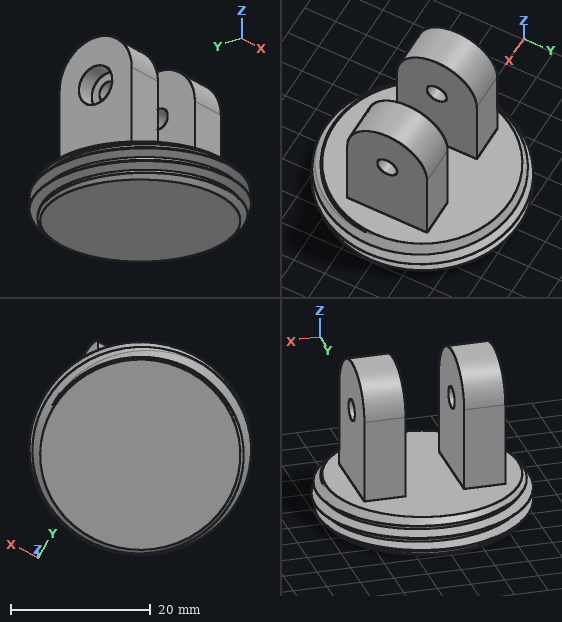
import cadquery as cq
import math

major_radius = 15.85
thread_pitch = 2.0
thread_depth = 1.33
crest_flat = 0.03
flank_half_angle = 30.0
disc_height = 6.0
end_face_radius = 14.3
root_radius = major_radius - thread_depth
ridge_embed = 0.1
envelope_clearance = 0.32

total_height = 25.0
lug_gap = 8.7
lug_thickness = 6.15
lug_width = 13.0
lug_foot_height = disc_height / 2
lug_round_radius = lug_width / 2
lug_round_height = total_height - lug_round_radius
lug_inner_x = lug_gap / 2
lug_outer_x = lug_inner_x + lug_thickness

hole_height = 17.5
hole_diameter = 3.2
counterbore_diameter = 6.0
counterbore_depth = 3.0


def thread_ridge():
    """Right-hand helical ridge that overruns both end faces of the disc."""
    start_height = -1.5 * thread_pitch
    helix_height = disc_height + 3 * thread_pitch
    base_radius = root_radius - ridge_embed
    half_crest = crest_flat / 2
    half_base = half_crest + (major_radius - base_radius) * math.tan(math.radians(flank_half_angle))
    helix = cq.Wire.makeHelix(thread_pitch, helix_height, root_radius)
    profile = cq.Workplane("XZ").polyline([
        (base_radius, -half_base),
        (major_radius, -half_crest),
        (major_radius, half_crest),
        (base_radius, half_base),
    ]).close()
    ridge = profile.sweep(cq.Workplane(obj=helix), isFrenet=True)
    return ridge.translate((0, 0, start_height))


def threaded_disc():
    """Threaded disc with 45 degree chamfers at both ends."""
    envelope_radius = major_radius + envelope_clearance
    end_drop = envelope_radius - end_face_radius
    envelope = (
        cq.Workplane("XZ")
        .polyline([
            (0, 0),
            (end_face_radius, 0),
            (envelope_radius, end_drop),
            (envelope_radius, disc_height - end_drop),
            (end_face_radius, disc_height),
            (0, disc_height),
        ])
        .close()
        .revolve(360, (0, 0, 0), (0, 1, 0))
    )
    core = cq.Workplane("XY").circle(root_radius).extrude(disc_height).intersect(envelope)
    return core.union(thread_ridge().intersect(envelope))


def lug(start_x):
    """Round-topped lug standing on the disc, extruded along X."""
    return (
        cq.Workplane("YZ", origin=(start_x, 0, 0))
        .moveTo(-lug_round_radius, lug_foot_height)
        .lineTo(-lug_round_radius, lug_round_height)
        .threePointArc((0, total_height), (lug_round_radius, lug_round_height))
        .lineTo(lug_round_radius, lug_foot_height)
        .close()
        .extrude(lug_thickness)
    )


def cross_hole_cutter():
    """Through hole along X, with a counterbore in the outer face of the -X lug."""
    plane = cq.Workplane("YZ", origin=(-lug_outer_x, 0, hole_height))
    through_hole = plane.circle(hole_diameter / 2).extrude(2 * lug_outer_x)
    counterbore = plane.circle(counterbore_diameter / 2).extrude(counterbore_depth)
    return through_hole.union(counterbore)


result = threaded_disc()
for start_x in (-lug_outer_x, lug_inner_x):
    result = result.union(lug(start_x))
result = result.cut(cross_hole_cutter())